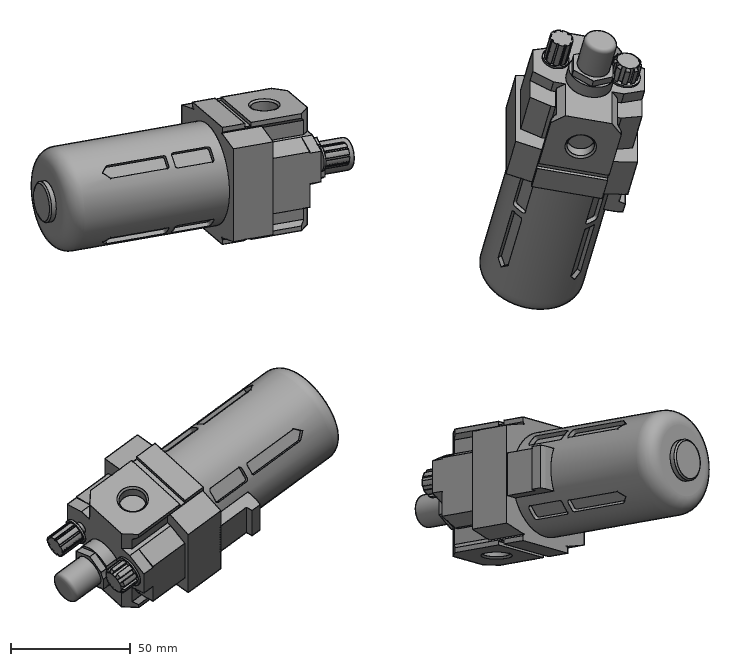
import cadquery as cq
import math


bowl_d = 44.4
bowl_end_y = -73.3
bowl_round = 7.0
drain_d = 17.5
drain_end_y = -76.1
drain_chamfer = 0.7

window_floor_r = 20.0
short_window_w = 7.0
short_window_y = (-22.7, -5.0)
short_window_round = 1.1
long_window_w = 5.9
long_window_y = (-52.3, -25.5)
long_window_round = 0.8

latch_w = 18.3
latch_x = -25.7
latch_lip_x = -28.5
latch_end_y = -20.5
latch_lip_y = (-19.9, -15.4)
latch_step_y = -14.7

collar_half_x = 26.1
collar_end_y = 18.3
collar_side_z = 21.0
collar_ridge_z = 23.5
block_half_x = 24.0
block_end_y = 36.2
block_side_z = 12.5
block_ridge_z = 16.0
body_end_y = 41.3
slab_side_z = (-1.8, 12.0)
slab_ridge_z = (-6.2, block_ridge_z)

plate_half_x = 15.1
plate_half_z = 26.5
plate_edge_z = 24.4
undercut = 2.0
plate_chamfer = body_end_y - block_end_y
groove_y = (10.3, 13.1)
groove_depth = 1.5
port_y = 26.1
port_d = 11.4
port_depth = 5.2
port_chamfer = 0.8

dome_z = -2.1
dome_d = 14.0
dome_end_y = 64.9
dome_round = 1.8
hex_flats = 16.9
hex_end_y = 50.2
base_d = 19.7
base_end_y = 47.1

knob_x = 15.0
knob_z = 5.0
flute_count = 9
fill_knob_d = 12.0
fill_knob_end_y = 50.2
fill_knob_chamfer = 1.1
fill_flange_d = 14.0
fill_flange_end_y = 42.2
fill_flute_w = 1.8
fill_flute_depth = 1.3
fill_clearance_d = 16.1
feed_knob_d = 9.9
feed_knob_end_y = 56.3
feed_flange_d = 11.4
feed_flange_y = (44.1, 45.1)
feed_stem_d = 5.0
feed_flute_w = 0.8
feed_flute_depth = 0.5


def section(y_end, x=0, z=0):
    """Sketch plane across the bowl axis at y_end; extruding it runs towards -Y."""
    return cq.Workplane("XZ", origin=(x, y_end, z))


def cylinder(diameter, y_start, y_end, x=0, z=0):
    return section(y_end, x, z).circle(diameter / 2).extrude(y_end - y_start)


def prism(points, y_start, y_end):
    return section(y_end).polyline(points).close().extrude(y_end - y_start)


def box(x_range, y_range, z_range):
    low, high = zip(x_range, y_range, z_range)
    size = [b - a for a, b in zip(low, high)]
    return cq.Workplane("XY").box(*size, centered=False).translate(low)


def mirrored_prism(half_points, y_start, y_end):
    """Prism from its +X outline, listed from bottom to top."""
    other_half = [(-x, z) for x, z in reversed(half_points)]
    return prism(half_points + other_half, y_start, y_end)


def make_port_plates():
    neck_half_x = plate_half_x - undercut
    neck_z = plate_edge_z - undercut
    upper = [(neck_half_x, neck_z), (plate_half_x, plate_edge_z), (plate_half_x, plate_half_z)]
    lower = [(x, -z) for x, z in reversed(upper)]
    plates = mirrored_prism(lower + upper, 0, body_end_y)
    for side in (-1, 1):
        corner = [
            (side * plate_half_x, body_end_y),
            (side * (plate_half_x - plate_chamfer), body_end_y),
            (side * plate_half_x, body_end_y - plate_chamfer),
        ]
        cutter = cq.Workplane("XY").polyline(corner).close().extrude(plate_half_z, both=True)
        plates = plates.cut(cutter)
    return plates


def make_collar():
    half = [
        (plate_half_x - undercut, -collar_ridge_z),
        (plate_half_x, -collar_ridge_z),
        (collar_half_x, -collar_side_z),
        (collar_half_x, collar_side_z),
        (plate_half_x, collar_ridge_z),
        (plate_half_x - undercut, collar_ridge_z),
    ]
    return mirrored_prism(half, 0, collar_end_y)


def make_block(side_z, ridge_z, y_start, y_end):
    half = [
        (plate_half_x, ridge_z[0]),
        (block_half_x, side_z[0]),
        (block_half_x, side_z[1]),
        (plate_half_x, ridge_z[1]),
    ]
    return mirrored_prism(half, y_start, y_end)


def cut_plate_faces(body):
    """Cross groove and port in each port plate."""
    full_width = (-plate_half_x, plate_half_x)
    groove = box(full_width, groove_y, (plate_half_z - groove_depth, plate_half_z))
    port_r = port_d / 2
    port_profile = [
        (0, plate_half_z - port_depth),
        (port_r, plate_half_z - port_depth),
        (port_r, plate_half_z - port_chamfer),
        (port_r + port_chamfer, plate_half_z),
        (0, plate_half_z),
    ]
    port = cq.Workplane("XZ").polyline(port_profile).close().revolve(360, (0, 0), (0, 1))
    cutter = groove.union(port.translate((0, port_y, 0)))
    return body.cut(cutter).cut(cutter.mirror("XY"))


def make_body():
    body = make_port_plates().union(make_collar())
    body = body.union(
        make_block((-block_side_z, block_side_z), (-block_ridge_z, block_ridge_z), 0, block_end_y)
    )
    body = body.union(make_block(slab_side_z, slab_ridge_z, block_end_y, body_end_y))
    return cut_plate_faces(body)


def make_latch():
    outline = [
        (0, 0),
        (latch_x, 0),
        (latch_x, latch_step_y),
        (latch_lip_x, latch_lip_y[1]),
        (latch_lip_x, latch_lip_y[0]),
        (latch_x, latch_end_y),
        (0, latch_end_y),
    ]
    return cq.Workplane("XY").polyline(outline).close().extrude(latch_w / 2, both=True)


def make_window_pair():
    """Cutters for one short and one long window, facing +Z."""
    height = bowl_d / 2 - window_floor_r
    floor = cq.Workplane("XY", origin=(0, 0, window_floor_r))

    short_start, short_end = short_window_y
    short = floor.center(0, (short_start + short_end) / 2)
    short = short.rect(short_window_w, short_end - short_start).extrude(height)
    short = short.edges("|Z").fillet(short_window_round)

    long_start, long_end = long_window_y
    half_w = long_window_w / 2
    outline = [
        (-half_w, long_end),
        (half_w, long_end),
        (half_w, long_start),
        (0, long_start - half_w),
        (-half_w, long_start),
    ]
    long = floor.polyline(outline).close().extrude(height)
    long = long.edges("|Z").edges(">Y").fillet(long_window_round)
    return short.union(long)


def make_bowl():
    bowl = cylinder(bowl_d, bowl_end_y, 0).faces("<Y").edges().fillet(bowl_round)
    windows = make_window_pair()
    for angle in (45, 135, 225, 315):
        bowl = bowl.cut(windows.rotate((0, 0, 0), (0, 1, 0), angle))
    drain = cylinder(drain_d, drain_end_y, bowl_end_y)
    drain = drain.faces("<Y").chamfer(drain_chamfer)
    return bowl.union(drain).union(make_latch())


def cut_flutes(knob, diameter, flute_w, flute_depth, y_start, y_end):
    """Straight flutes around a knob on the Y axis, the first one facing +Z."""
    floor_r = diameter / 2 - flute_depth
    flute = box((-flute_w / 2, flute_w / 2), (y_start, y_end), (floor_r, diameter))
    for index in range(flute_count):
        knob = knob.cut(flute.rotate((0, 0, 0), (0, 1, 0), index * 360 / flute_count))
    return knob


def make_fill_knob():
    knob = cylinder(fill_knob_d, fill_flange_end_y, fill_knob_end_y)
    knob = knob.faces(">Y").chamfer(fill_knob_chamfer)
    knob = cut_flutes(
        knob, fill_knob_d, fill_flute_w, fill_flute_depth, fill_flange_end_y, fill_knob_end_y
    )
    flange = cylinder(fill_flange_d, body_end_y, fill_flange_end_y)
    return knob.union(flange).translate((-knob_x, 0, knob_z))


def make_feed_knob():
    flange_start, flange_end = feed_flange_y
    knob = cylinder(feed_knob_d, flange_end, feed_knob_end_y)
    knob = cut_flutes(
        knob, feed_knob_d, feed_flute_w, feed_flute_depth, flange_end, feed_knob_end_y
    )
    flange = cylinder(feed_flange_d, flange_start, flange_end)
    stem = cylinder(feed_stem_d, body_end_y, flange_start)
    return knob.union(flange).union(stem).translate((knob_x, 0, knob_z))


def make_sight_dome():
    base = cylinder(base_d, body_end_y, base_end_y, z=dome_z)
    hex_corners = hex_flats / math.cos(math.radians(30))
    hexagon = section(hex_end_y).polygon(6, hex_corners).extrude(hex_end_y - base_end_y)
    hexagon = hexagon.rotate((0, 0, 0), (0, 1, 0), 30).translate((0, 0, dome_z))
    clearance = cylinder(fill_clearance_d, body_end_y, hex_end_y, -knob_x, knob_z)
    dome = cylinder(dome_d, body_end_y, dome_end_y, z=dome_z)
    dome = dome.faces(">Y").edges().fillet(dome_round)
    return base.union(hexagon).cut(clearance).union(dome)


result = make_body().union(make_bowl())
result = result.union(make_sight_dome()).union(make_fill_knob()).union(make_feed_knob())